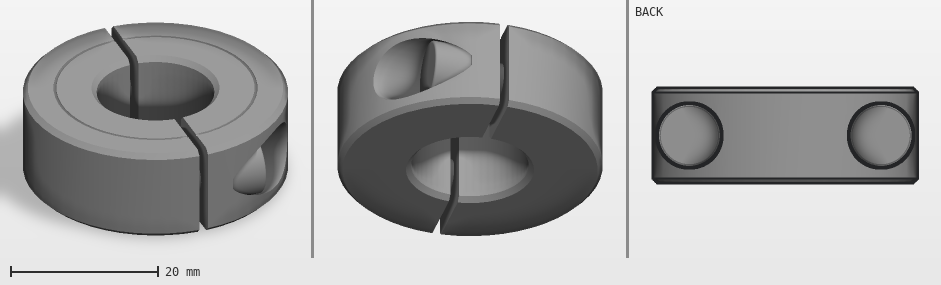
import cadquery as cq


outer_radius = 18.0
bore_radius = 8.0
ring_height = 13.0
edge_chamfer = 0.7
split_gap = 1.22

groove_radius = 13.65
groove_section_radius = 0.198

screw_offset = 13.0
shank_diameter = 5.0
head_diameter = 8.55
head_height = shank_diameter
head_fillet = 0.32
head_seat_y = 4.45
shank_length = 12.0
counterbore_diameter = 9.0

REAR, FRONT = 1, -1
LEFT, RIGHT = -1, 1


def cylinder_along_y(x, start_y, length, diameter):
    """Cylinder at mid-height of the ring that runs in +Y from start_y."""
    start_plane = cq.Plane(origin=(x, start_y, 0), xDir=(1, 0, 0), normal=(0, 1, 0))
    return cq.Workplane(start_plane).circle(diameter / 2).extrude(length)


def make_shank(x):
    """Plain screw shank from its blind end up to the head seat."""
    return cylinder_along_y(x, head_seat_y - shank_length, shank_length, shank_diameter)


def make_ring():
    """Whole ring with chamfered rims and a half-round groove in the upper face."""
    ring = (
        cq.Workplane("XY")
        .circle(outer_radius)
        .circle(bore_radius)
        .extrude(ring_height / 2, both=True)
        .faces("|Z")
        .edges()
        .chamfer(edge_chamfer)
    )
    groove = cq.Workplane(
        cq.Solid.makeTorus(
            groove_radius, groove_section_radius, cq.Vector(0, 0, ring_height / 2), cq.Vector(0, 0, 1)
        )
    )
    return ring.cut(groove)


def make_half_ring(side):
    """Part of the ring on one side of the split, with holes for both screw shanks."""
    half_space = cq.Workplane("XY").box(2 * outer_radius, outer_radius, ring_height)
    half_space = half_space.translate((0, side * (outer_radius + split_gap) / 2, 0))
    half = make_ring().intersect(half_space)
    for screw_side in (LEFT, RIGHT):
        half = half.cut(make_shank(screw_side * screw_offset))
    return half


def make_rear_half():
    """Half ring with counterbores that open through its outer wall."""
    half = make_half_ring(REAR)
    for screw_side in (LEFT, RIGHT):
        counterbore = cylinder_along_y(
            screw_side * screw_offset, head_seat_y, outer_radius - head_seat_y, counterbore_diameter
        )
        half = half.cut(counterbore)
    return half


def make_front_half():
    """Half ring with blind holes that take the screw ends."""
    return make_half_ring(FRONT)


def make_screw(x):
    """Cap screw with a rounded head edge."""
    head = cylinder_along_y(x, head_seat_y, head_height, head_diameter)
    head = head.faces(">Y").edges().fillet(head_fillet)
    return head.union(make_shank(x))


rear_half = make_rear_half()
front_half = make_front_half()
screws = [make_screw(screw_side * screw_offset) for screw_side in (LEFT, RIGHT)]

result = cq.Compound.makeCompound(
    [
        rear_half.solids().val(),
        front_half.solids().val(),
        *[screw.solids().val() for screw in screws],
    ]
)